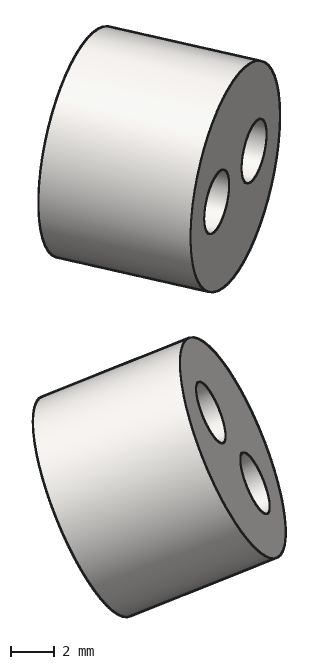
import cadquery as cq

outer_diameter = 10.8
length = 7.5
hole_diameter = 3.0
hole_spacing = 4.5

body = cq.Workplane("YZ").circle(outer_diameter / 2).extrude(length)

hole_centres = [(-hole_spacing / 2, 0), (hole_spacing / 2, 0)]
holes = (
    cq.Workplane("YZ")
    .pushPoints(hole_centres)
    .circle(hole_diameter / 2)
    .extrude(length)
)

result = body.cut(holes)